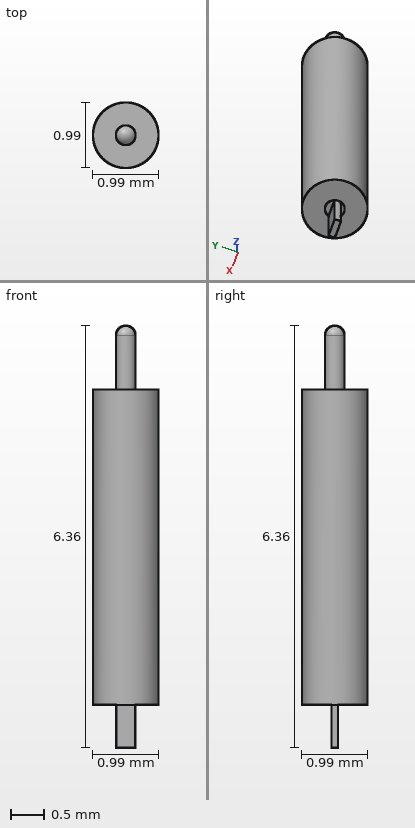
import cadquery as cq

total_length = 6.36
sleeve_diameter = 0.99
sleeve_length = 4.75
pin_diameter = 0.3
tail_length = 0.65
tail_thickness = 0.1

pin_radius = pin_diameter / 2
pin_bottom = -tail_length
pin_top = total_length - tail_length


def make_sleeve():
    """Cylinder with a bore along its axis that holds the pin."""
    return (
        cq.Workplane("XY")
        .circle(sleeve_diameter / 2)
        .circle(pin_radius)
        .extrude(sleeve_length)
    )


def make_round_pin():
    """Round rod with a hemispherical upper end."""
    return (
        cq.Workplane("XZ")
        .moveTo(0, pin_bottom)
        .lineTo(pin_radius, pin_bottom)
        .lineTo(pin_radius, pin_top - pin_radius)
        .radiusArc((0, pin_top), -pin_radius)
        .close()
        .revolve(360, (0, 0), (0, 1))
    )


def make_tail_flats():
    """Material removed on both Y sides of the rod, below the sleeve."""
    around_tail = cq.Workplane("XY").rect(2 * pin_diameter, 2 * pin_diameter).extrude(pin_bottom)
    blade = cq.Workplane("XY").rect(2 * pin_diameter, tail_thickness).extrude(pin_bottom)
    return around_tail.cut(blade)


def make_pin():
    """Pin through the sleeve: domed contact end above, flattened tail below."""
    return make_round_pin().cut(make_tail_flats())


sleeve = make_sleeve()
pin = make_pin()

result = cq.Compound.makeCompound([sleeve.val(), *pin.solids().vals()])